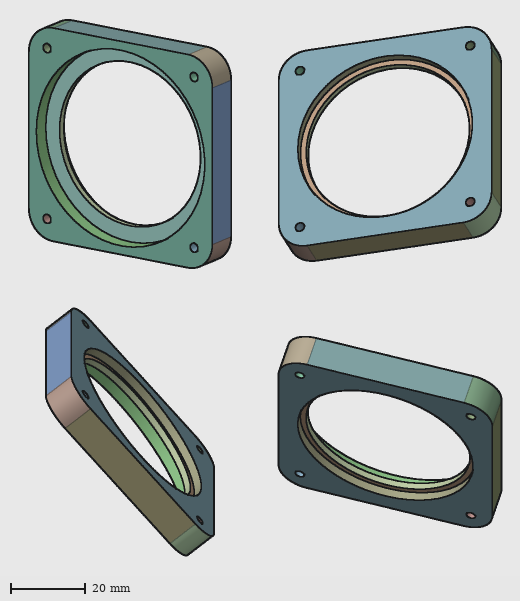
import cadquery as cq

side = 60.0
thickness = 9.0
corner_radius = 8.0

front_recess_diameter = 55.0
front_recess_depth = 4.5
lip_diameter = 46.0
lip_thickness = 2.0
back_recess_diameter = 49.2
back_recess_depth = thickness - front_recess_depth - lip_thickness

hole_diameter = 2.5
hole_edge_distance = 6.0
hole_spacing = side - 2 * hole_edge_distance

plate = (
    cq.Workplane("XZ")
    .rect(side, side)
    .extrude(thickness)
    .edges("|Y")
    .fillet(corner_radius)
)

front_opened = plate.faces("<Y").workplane().cboreHole(lip_diameter, front_recess_diameter, front_recess_depth)

back_recess = cq.Workplane("XZ").circle(back_recess_diameter / 2).extrude(back_recess_depth)
opened_plate = front_opened.cut(back_recess)

result = (
    opened_plate.faces("<Y")
    .workplane()
    .rect(hole_spacing, hole_spacing, forConstruction=True)
    .vertices()
    .hole(hole_diameter)
)